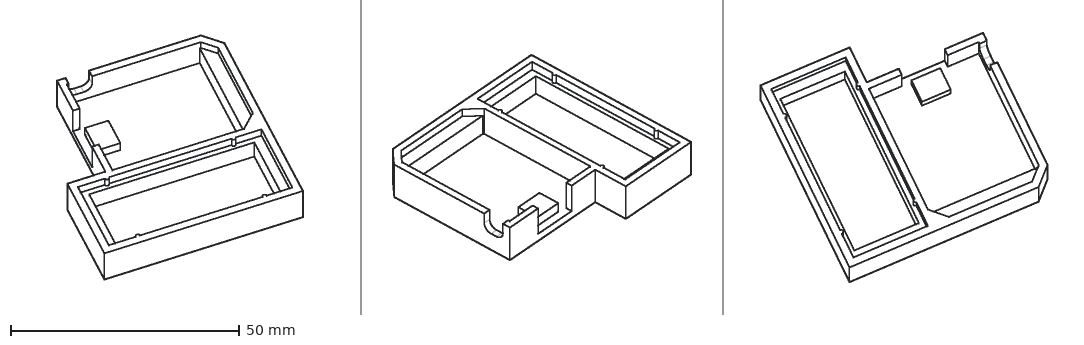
import cadquery as cq
import math

LENGTH = 49.45
DEPTH = 47.0
HEIGHT = 9.0
SIDE_BLOCK_X = 28.0
MAIN_FRONT_Y = 9.0
CORNER_CHAMFER = 3.95
WALL = 1.8
FLOOR = 2.0

MAIN_FRONT_WALL = 1.6
MAIN_RIGHT_X = 28.2
INNER_LEFT_CHAMFER = CORNER_CHAMFER - WALL * (2 - math.sqrt(2))
INNER_RIGHT_CHAMFER = 3.45
SHELF_FRONT_Y = 42.05
SHELF_DROP = 2.0

LEDGE_DROP = 2.2
LEDGE_SIDE = 1.2
LEDGE_END = 2.2
RIB_RADIUS = 0.5
RIB_YS = (8.65, 38.6)

WINDOW_X = 9.25
WINDOW_WIDTH = 11.05
PAD_X = 11.23
PAD_WIDTH = 6.9
PAD_HEIGHT = 2.35
NOTCH_Y = 11.05
NOTCH_WIDTH = 5.55
NOTCH_BOTTOM = HEIGHT / 2
NOTCH_RADIUS = 2.0


def box(x0, x1, y0, y1, z0, z1):
    """Box between two opposite corners."""
    return cq.Workplane("XY").box(x1 - x0, y1 - y0, z1 - z0, centered=False).translate((x0, y0, z0))


def body():
    """Stepped outline with one chamfered back corner."""
    outline = [
        (0, MAIN_FRONT_Y),
        (SIDE_BLOCK_X, MAIN_FRONT_Y),
        (SIDE_BLOCK_X, 0),
        (LENGTH, 0),
        (LENGTH, DEPTH),
        (CORNER_CHAMFER, DEPTH),
        (0, DEPTH - CORNER_CHAMFER),
    ]
    return cq.Workplane("XY").polyline(outline).close().extrude(HEIGHT)


def main_cavity():
    """Main compartment, less the raised shelf along its back wall."""
    front = MAIN_FRONT_Y + MAIN_FRONT_WALL
    back = DEPTH - WALL
    outline = [
        (WALL, front),
        (MAIN_RIGHT_X, front),
        (MAIN_RIGHT_X, back - INNER_RIGHT_CHAMFER),
        (MAIN_RIGHT_X - INNER_RIGHT_CHAMFER, back),
        (WALL + INNER_LEFT_CHAMFER, back),
        (WALL, back - INNER_LEFT_CHAMFER),
    ]
    cavity = cq.Workplane("XY").workplane(offset=FLOOR).polyline(outline).close().extrude(HEIGHT - FLOOR)
    shelf = box(0, MAIN_RIGHT_X, SHELF_FRONT_Y, DEPTH, 0, HEIGHT - SHELF_DROP)
    return cavity.cut(shelf)


def side_cavity():
    """Side compartment: shallow recess with half-round wall ribs, over a well."""
    left = SIDE_BLOCK_X + WALL
    right = LENGTH - WALL
    front = WALL
    back = DEPTH - WALL
    ledge = HEIGHT - LEDGE_DROP
    rib_centers = [(x, y) for x in (left, right) for y in RIB_YS]
    ribs = cq.Workplane("XY").pushPoints(rib_centers).circle(RIB_RADIUS).extrude(HEIGHT)
    recess = box(left, right, front, back, ledge, HEIGHT).cut(ribs)
    well = box(left + LEDGE_SIDE, right - LEDGE_SIDE, front + LEDGE_END, back - LEDGE_END, FLOOR, ledge)
    return recess.union(well)


def front_window():
    """Opening through the front wall, level with the floor."""
    wall_back = MAIN_FRONT_Y + MAIN_FRONT_WALL
    return box(WINDOW_X, WINDOW_X + WINDOW_WIDTH, MAIN_FRONT_Y, wall_back, FLOOR, HEIGHT)


def left_notch():
    """Open-topped notch through the left wall with rounded bottom corners."""
    notch = box(0, WALL, NOTCH_Y, NOTCH_Y + NOTCH_WIDTH, NOTCH_BOTTOM, HEIGHT)
    return notch.edges("|X and <Z").fillet(NOTCH_RADIUS)


def pad():
    """Raised pad on the main floor, in line with the left notch."""
    return box(PAD_X, PAD_X + PAD_WIDTH, NOTCH_Y, NOTCH_Y + NOTCH_WIDTH, FLOOR, FLOOR + PAD_HEIGHT)


result = body()
for opening in (main_cavity(), side_cavity(), front_window(), left_notch()):
    result = result.cut(opening)
result = result.union(pad())